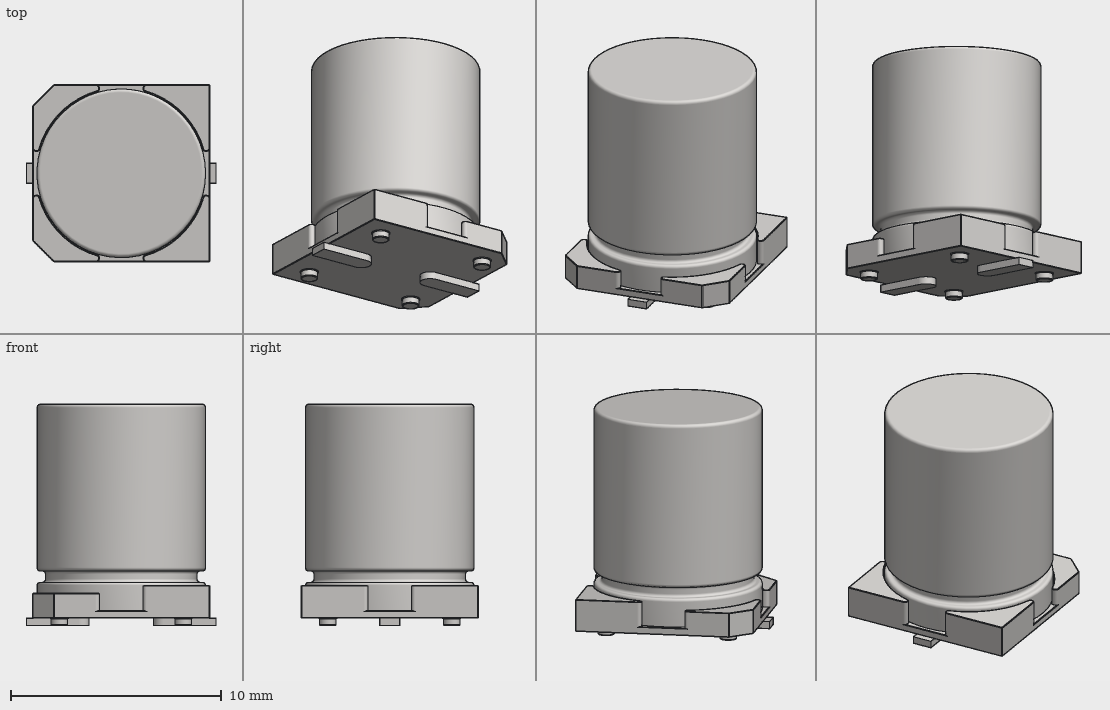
import cadquery as cq
import math

total_height = 10.5
base_bottom = 0.35
recess_floor = 0.7
low_corner_top = 1.53
high_corner_top = 1.9

can_radius = 4.0
top_fillet = 0.17
groove_radius = 3.6
groove_bottom = 2.05
groove_top = 2.58
groove_fillet = 0.15

base_width = 8.4
base_half = base_width / 2
corner_chamfer = 1.0
edge_chamfer = 0.03
pocket_radius = 4.05
slot_width = 2.08
slot_half = slot_width / 2
outer_nose_fillet = 0.17
inner_nose_fillet = 0.1

terminal_tip = 4.5
terminal_width = 0.96
terminal_inner_end = 1.52
foot_diameter = 0.8
foot_offset = 2.94
foot_ease = 0.04


def make_can():
    """Revolved can with a rounded top rim and a round-edged crimp groove."""
    body = (
        cq.Workplane("XY")
        .workplane(offset=recess_floor)
        .circle(can_radius)
        .extrude(total_height - recess_floor)
    )
    body = body.faces(">Z").edges().fillet(top_fillet)
    groove_ring = (
        cq.Workplane("XY")
        .workplane(offset=groove_bottom)
        .circle(base_width)
        .circle(groove_radius)
        .extrude(groove_top - groove_bottom)
    )
    body = body.cut(groove_ring)
    groove_zone = cq.selectors.BoxSelector(
        (-base_width, -base_width, groove_bottom - groove_fillet),
        (base_width, base_width, groove_top + groove_fillet),
    )
    return body.edges(groove_zone).edges("%CIRCLE").fillet(groove_fillet)


def make_outline(top):
    """Square base column with its -X corners cut off and its outer edges eased."""
    column = (
        cq.Workplane("XY")
        .workplane(offset=base_bottom)
        .rect(base_width, base_width)
        .extrude(top - base_bottom)
    )
    column = column.edges("|Z and <X").chamfer(corner_chamfer)
    column = column.edges("|Z").chamfer(edge_chamfer)
    return column.faces("<Z").edges().chamfer(edge_chamfer)


def make_plate():
    """Thin base plate whose top is the floor of the pocket and the slots."""
    return make_outline(recess_floor).faces(">Z").edges().chamfer(edge_chamfer)


def make_corner(x_side, y_side, top):
    """Corner block standing between two slots and hollowed by the round pocket."""
    quadrant = (
        cq.Workplane("XY")
        .moveTo(x_side * slot_half, y_side * slot_half)
        .lineTo(x_side * base_width, y_side * slot_half)
        .lineTo(x_side * base_width, y_side * base_width)
        .lineTo(x_side * slot_half, y_side * base_width)
        .close()
        .extrude(total_height)
    )
    pocket = cq.Workplane("XY").circle(pocket_radius).extrude(total_height)
    block = make_outline(top).intersect(quadrant).cut(pocket)

    middle = (top + base_bottom) / 2
    pocket_end = math.sqrt(pocket_radius**2 - slot_half**2)
    for reach, radius in ((base_half, outer_nose_fillet), (pocket_end, inner_nose_fillet)):
        for x, y in ((slot_half, reach), (reach, slot_half)):
            nose = cq.selectors.NearestToPointSelector((x_side * x, y_side * y, middle))
            block = block.edges("|Z").edges(nose).fillet(radius)
    return block.faces(">Z").edges().chamfer(edge_chamfer)


def make_terminal(side):
    """Flat terminal strip with a fully rounded inner end."""
    half = terminal_width / 2
    round_center = terminal_inner_end + half
    return (
        cq.Workplane("XY")
        .moveTo(side * terminal_tip, -half)
        .lineTo(side * round_center, -half)
        .threePointArc((side * terminal_inner_end, 0), (side * round_center, half))
        .lineTo(side * terminal_tip, half)
        .close()
        .extrude(base_bottom)
    )


def make_feet():
    """Four round standoff feet with an eased lower rim and a flared root."""
    radius = foot_diameter / 2
    flare_start = base_bottom - foot_ease
    foot = (
        cq.Workplane("XZ")
        .lineTo(radius - foot_ease, 0)
        .lineTo(radius, foot_ease)
        .lineTo(radius, flare_start)
        .lineTo(radius + foot_ease, base_bottom)
        .lineTo(0, base_bottom)
        .close()
        .revolve(360, (0, 0, 0), (0, 1, 0))
    )
    feet = cq.Workplane("XY")
    for x in (-foot_offset, foot_offset):
        for y in (-foot_offset, foot_offset):
            feet = feet.add(foot.translate((x, y, 0)))
    return feet.combine()


result = make_plate().union(make_can()).union(make_feet())
for x_side, top in ((-1, low_corner_top), (1, high_corner_top)):
    result = result.union(make_terminal(x_side))
    for y_side in (-1, 1):
        result = result.union(make_corner(x_side, y_side, top))